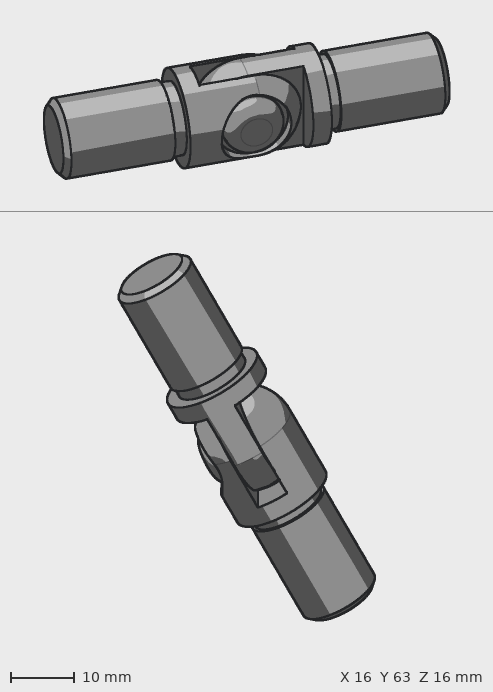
import cadquery as cq

overall_length = 63.0
body_radius = 8.0
shaft_radius = 6.4
neck_radius = 5.9
end_chamfer = 1.0
collar_outer = 11.5
neck_length = 2.0
joint_offset = 0.5
dome_reach = body_radius + joint_offset

tongue_width = 4.9
slot_width = 5.15
pivot_y = -joint_offset
pocket_radius = 5.9
pocket_floor_x = 4.4
head_radius = 5.0
head_top_x = 7.25
head_rounding = 2.4
pin_radius = 2.5
pin_end_x = -pocket_floor_x

half_length = overall_length / 2
shaft_start = collar_outer + neck_length


def rod_along_y(radius, start, end):
    """Cylinder on the Y axis between two Y positions."""
    return cq.Workplane("XZ", origin=(0, start, 0)).circle(radius).extrude(start - end)


def rod_along_x(radius, start, end):
    """Cylinder on the pivot axis between two X positions."""
    return cq.Workplane("YZ", origin=(start, pivot_y, 0)).circle(radius).extrude(end - start)


def stub_shaft():
    """Chamfered shaft and narrower neck on the +Y side."""
    shaft = rod_along_y(shaft_radius, shaft_start, half_length).faces(">Y").chamfer(end_chamfer)
    return shaft.union(rod_along_y(neck_radius, collar_outer, shaft_start))


def domed_barrel():
    """Barrel running from the -Y collar face to a hemispherical +Y end."""
    barrel = rod_along_y(body_radius, -collar_outer, joint_offset)
    dome = cq.Workplane("XY").sphere(body_radius).translate((0, joint_offset, 0))
    return barrel.union(dome)


def make_fork():
    """Slotted, domed yoke with a pocket for the screw head."""
    fork = domed_barrel().union(stub_shaft().mirror("XZ"))
    slot_length = 2 * dome_reach
    slot = cq.Workplane("XY").box(slot_width, slot_length, 2 * body_radius)
    pocket = rod_along_x(pocket_radius, pocket_floor_x, body_radius)
    bore = rod_along_x(pin_radius, pin_end_x, pocket_floor_x)
    return fork.cut(slot).cut(pocket).cut(bore)


def make_tongue():
    """Collar and shaft with a flat, round-ended tongue."""
    blank = domed_barrel().mirror("XZ")
    blade_length = collar_outer + dome_reach
    blade = cq.Workplane("XY").box(tongue_width, blade_length, 2 * body_radius)
    blade = blade.translate((0, (collar_outer - dome_reach) / 2, 0)).intersect(blank)
    collar = rod_along_y(body_radius, dome_reach, collar_outer)
    bore = rod_along_x(pin_radius, pin_end_x, pocket_floor_x)
    return blade.union(collar).union(stub_shaft()).cut(bore)


def make_pivot_screw():
    """Pivot pin with a rounded head seated in the fork pocket."""
    head = rod_along_x(head_radius, pocket_floor_x, head_top_x).faces(">X").edges().fillet(head_rounding)
    return head.union(rod_along_x(pin_radius, pin_end_x, pocket_floor_x))


fork = make_fork()
tongue = make_tongue()
pivot_screw = make_pivot_screw()

result = cq.Compound.makeCompound([fork.val(), tongue.val(), pivot_screw.val()])